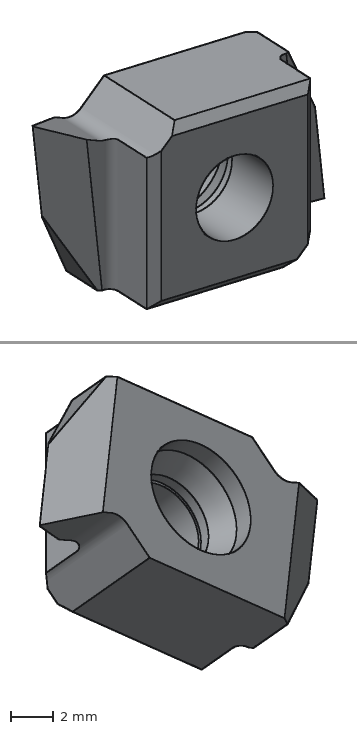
import cadquery as cq
import math

BODY_HEIGHT = 9.525
BODY_WIDTH = 9.45
THICKNESS = 6.35
TIP_SPAN = 16.8
HALF_HEIGHT = BODY_HEIGHT / 2
TIP_REACH = TIP_SPAN / 2
MARGIN = 1.0

TIP_HEIGHT = 4.25
RAKE_ANGLE = 20.0
GULLY_START = 3.11
GULLY_ANGLE = 45.0
GULLY_RADIUS = 1.0
TIP_CLEARANCE = 6.2
HEEL_START = 5.5
HEEL_ANGLE = 30.0

TOOTH_WIDTH = 3.0
NOSE_X = 1.7
NOSE_RADIUS = 0.1
FRONT_FLANK_ANGLE = 35.0
BACK_FLANK_ANGLE = 30.5
SHOULDER_RADIUS = 0.5
BACK_CHAMFER = 0.5

SEAT_RADIUS = 3.02
SEAT_DEPTH = 1.07
THROAT_RADIUS = 2.37
THROAT_START = 2.38
THROAT_END = 2.95
BORE_RADIUS = 2.22


def tan_deg(angle):
    return math.tan(math.radians(angle))


def turned(shape):
    """The same shape at the opposite end of the part."""
    return shape.rotate((0, 0, 0), (1, 0, 0), 180)


def side_prism():
    """Side outline in the YZ plane, carried through the full thickness."""
    wall, rake = tan_deg(GULLY_ANGLE), tan_deg(RAKE_ANGLE)
    drop_to_tip = HALF_HEIGHT - TIP_HEIGHT
    gully_run = (drop_to_tip + rake * (TIP_REACH - GULLY_START)) / (wall + rake)
    gully = (-GULLY_START - gully_run, HALF_HEIGHT - wall * gully_run)

    reach = TIP_REACH + MARGIN
    half = [
        (-GULLY_START, HALF_HEIGHT),
        gully,
        (-reach, TIP_HEIGHT + rake * MARGIN),
        (-reach, -HALF_HEIGHT + (reach - HEEL_START) / tan_deg(HEEL_ANGLE)),
        (-HEEL_START, -HALF_HEIGHT),
    ]
    outline = half + [(-y, -z) for y, z in half]
    prism = cq.Workplane("YZ").polyline(outline).close().extrude(THICKNESS)
    for sign in (1, -1):
        corner = cq.selectors.NearestToPointSelector(
            (THICKNESS / 2, sign * gully[0], sign * gully[1]))
        prism = prism.edges("|X").edges(corner).fillet(GULLY_RADIUS)
    return prism


def stepped_blank():
    """Wide tooth slab in front, chamfered body behind, rounded shoulders between."""
    body = cq.Workplane("YZ").rect(BODY_WIDTH, BODY_HEIGHT).extrude(THICKNESS)
    body = body.faces(">X").edges().chamfer(BACK_CHAMFER)
    slab_width = TIP_SPAN + 2 * MARGIN
    slab = cq.Workplane("YZ").rect(slab_width, BODY_HEIGHT).extrude(TOOTH_WIDTH)
    blank = body.union(slab)
    for sign in (1, -1):
        shoulder = cq.selectors.NearestToPointSelector(
            (TOOTH_WIDTH, sign * BODY_WIDTH / 2, 0))
        blank = blank.edges("|Z").edges(shoulder).fillet(SHOULDER_RADIUS)
    return blank


def flank_cutter():
    """Stock outside the rounded V of the -Y tooth, parallel to its tilted cutting edge."""
    tilt = tan_deg(TIP_CLEARANCE)
    tip_y = -TIP_REACH + tilt * (TIP_HEIGHT + HALF_HEIGHT)
    outer_y = -TIP_REACH - 2 * MARGIN

    def nose_tangent(angle, side):
        radians = math.radians(angle)
        x = NOSE_X + side * NOSE_RADIUS * math.cos(radians)
        return x, tip_y + NOSE_RADIUS * (1 - math.sin(radians))

    front_x, front_y = nose_tangent(FRONT_FLANK_ANGLE, -1)
    back_x, back_y = nose_tangent(BACK_FLANK_ANGLE, 1)
    front_root_y = front_y + front_x / tan_deg(FRONT_FLANK_ANGLE)
    back_root_y = back_y + (TOOTH_WIDTH - back_x) / tan_deg(BACK_FLANK_ANGLE)
    section = (
        cq.Workplane("XY", origin=(0, 0, -HALF_HEIGHT))
        .moveTo(0, front_root_y)
        .lineTo(front_x, front_y)
        .threePointArc((NOSE_X, tip_y), (back_x, back_y))
        .lineTo(TOOTH_WIDTH, back_root_y)
        .lineTo(TOOTH_WIDTH, outer_y)
        .lineTo(0, outer_y)
        .close()
    )
    sweep = cq.Vector(0, -tilt * BODY_HEIGHT, BODY_HEIGHT)
    return cq.Workplane(obj=cq.Solid.extrudeLinear(section.val(), [], sweep))


def screw_hole():
    """Counterbore, conical screw seat, short throat and through bore."""
    return (
        cq.Workplane("XZ")
        .lineTo(0, -SEAT_RADIUS)
        .lineTo(SEAT_DEPTH, -SEAT_RADIUS)
        .lineTo(THROAT_START, -THROAT_RADIUS)
        .lineTo(THROAT_END, -THROAT_RADIUS)
        .lineTo(THROAT_END, -BORE_RADIUS)
        .lineTo(THICKNESS, -BORE_RADIUS)
        .lineTo(THICKNESS, 0)
        .close()
        .revolve(360, (0, 0, 0), (1, 0, 0))
    )


cutter = flank_cutter()
result = stepped_blank().intersect(side_prism())
result = result.cut(cutter).cut(turned(cutter))
result = result.cut(screw_hole())